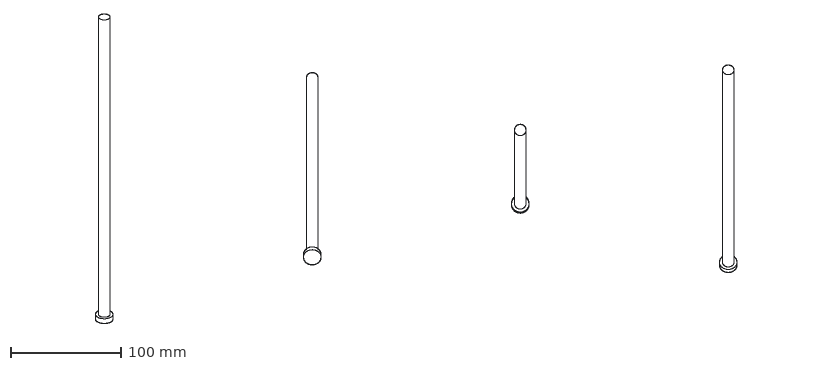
import cadquery as cq

total_length = 320.0
head_diameter = 16.0
head_height = 5.0
shank_diameter = 10.5

head = cq.Workplane("XY").circle(head_diameter / 2).extrude(head_height)

shank = cq.Workplane("XY").circle(shank_diameter / 2).extrude(total_length)

result = head.union(shank)